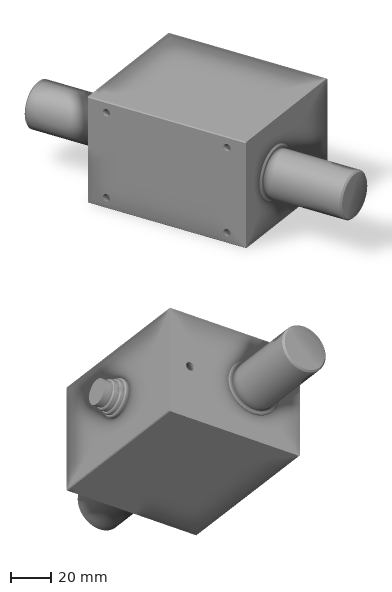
import cadquery as cq
import math

housing_length = 91.6
housing_depth = 78.0
housing_height = 60.0
housing_front = 28.0
housing_back = housing_depth - housing_front
housing_chamfer = 0.5

shaft_length = 184.0
shaft_diameter = 26.0
shaft_chamfer = 1.0
collar_diameter = 30.0
collar_thickness = 1.1
collar_chamfer = 0.5

drill_point_angle = 118.0
mount_hole_diameter = 4.0
mount_hole_depth = 9.2
mount_hole_spacing_x = 70.0
mount_hole_spacing_z = 48.0
side_hole_diameter = 4.8
side_hole_depth = 9.2
side_hole_offset = 37.5

flange_diameter = 20.6
flange_length = 2.4
collet_diameter = 18.4
collet_length = 2.2
collet_flats = 17.5
nut_diameter = 16.2
nut_length = 3.3
nut_flats = 15.5
tip_diameter = 14.0
tip_length = 4.6
connector_chamfer = 0.5


def cylinder_along(direction, start, diameter, length):
    """Cylinder that begins at start and runs along direction."""
    return cq.Workplane(cq.Plane(origin=start, normal=direction)).circle(diameter / 2).extrude(length)


def drilled_hole(mouth, direction, diameter, depth):
    """Cutter for a blind hole: a cylinder of the given depth, then a drill point."""
    radius = diameter / 2
    point_depth = radius / math.tan(math.radians(drill_point_angle / 2))
    barrel = cq.Solid.makeCylinder(radius, depth, mouth, direction)
    point = cq.Solid.makeCone(radius, 0, point_depth, mouth + direction * depth, direction)
    return barrel.fuse(point)


def make_block():
    block = cq.Workplane("XY").box(housing_length, housing_depth, housing_height)
    block = block.edges("|X").chamfer(housing_chamfer)
    return block.translate((0, housing_back - housing_depth / 2, 0))


def make_shaft_and_collars():
    collar_span = housing_length + 2 * collar_thickness
    shaft = cylinder_along((1, 0, 0), (-shaft_length / 2, 0, 0), shaft_diameter, shaft_length)
    shaft = shaft.faces("<X or >X").chamfer(shaft_chamfer)
    collars = cylinder_along((1, 0, 0), (-collar_span / 2, 0, 0), collar_diameter, collar_span)
    collars = collars.faces("<X or >X").chamfer(collar_chamfer)
    return shaft.union(collars)


def make_housing():
    """Block with its shaft stubs, four front mounting holes and one hole in the -X face."""
    housing = make_block().union(make_shaft_and_collars())
    for side_x in (-1, 1):
        for side_z in (-1, 1):
            mouth = cq.Vector(
                side_x * mount_hole_spacing_x / 2, -housing_front, side_z * mount_hole_spacing_z / 2
            )
            housing = housing.cut(
                drilled_hole(mouth, cq.Vector(0, 1, 0), mount_hole_diameter, mount_hole_depth)
            )
    side_mouth = cq.Vector(-housing_length / 2, side_hole_offset, 0)
    return housing.cut(
        drilled_hole(side_mouth, cq.Vector(1, 0, 0), side_hole_diameter, side_hole_depth)
    )


def connector_section(start, diameter, length):
    """Round connector section, chamfered at its outer end."""
    section = cylinder_along((0, 1, 0), (0, start, 0), diameter, length)
    return section.faces(">Y").chamfer(connector_chamfer)


def flatted_section(start, diameter, length, across_flats):
    """Connector section with two flats that face -X and +X."""
    flats = cq.Workplane("XY").box(across_flats, length, diameter)
    flats = flats.translate((0, start + length / 2, 0))
    return connector_section(start, diameter, length).intersect(flats)


def make_connector():
    collet_start = housing_back + flange_length
    nut_start = collet_start + collet_length
    tip_start = nut_start + nut_length
    flange = connector_section(housing_back, flange_diameter, flange_length)
    collet = flatted_section(collet_start, collet_diameter, collet_length, collet_flats)
    nut = flatted_section(nut_start, nut_diameter, nut_length, nut_flats)
    tip = cylinder_along((0, 1, 0), (0, tip_start, 0), tip_diameter, tip_length)
    return flange.union(collet).union(nut).union(tip)


housing = make_housing()
connector = make_connector()

result = cq.Compound.makeCompound([housing.val(), connector.val()])